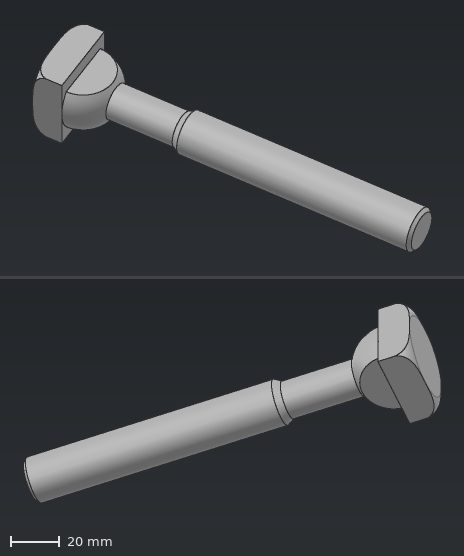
import cadquery as cq

bolt_length = 174.0
head_width = 35.0
head_thickness = 14.0

collar_radius = head_width / 2
collar_thickness = 21.0

neck_diameter = 16.4
rod_diameter = 20.0
shoulder_start = 60.7
shoulder_length = 3.1
end_chamfer = 1.5

corner_rounding = 7.3


def make_head():
    """Square head whose corners are rounded toward the outer face."""
    block = cq.Workplane("YZ").rect(head_width, head_width).extrude(head_thickness)
    face_radius = head_width / 2
    envelope = (
        cq.Workplane("YZ")
        .circle(face_radius + corner_rounding)
        .extrude(head_thickness)
        .faces("<X")
        .edges()
        .fillet(corner_rounding)
    )
    return block.intersect(envelope)


def make_collar():
    """Half ball centred on the back of the head, cut to a flat slab."""
    ball = cq.Workplane("XY").sphere(collar_radius).translate((head_thickness, 0, 0))
    slab = (
        cq.Workplane("XY")
        .box(collar_radius, head_width, collar_thickness, centered=(False, True, True))
        .translate((head_thickness, 0, 0))
    )
    return ball.intersect(slab)


def make_shank():
    """Neck, conical shoulder and chamfered rod as one revolved outline."""
    neck_radius = neck_diameter / 2
    rod_radius = rod_diameter / 2
    shoulder_end = shoulder_start + shoulder_length
    profile = (
        cq.Workplane("XY")
        .moveTo(head_thickness, 0)
        .lineTo(head_thickness, neck_radius)
        .lineTo(shoulder_start, neck_radius)
        .lineTo(shoulder_end, rod_radius)
        .lineTo(bolt_length - end_chamfer, rod_radius)
        .lineTo(bolt_length, rod_radius - end_chamfer)
        .lineTo(bolt_length, 0)
        .close()
    )
    return profile.revolve(360, (0, 0, 0), (1, 0, 0))


result = make_head().union(make_collar()).union(make_shank())